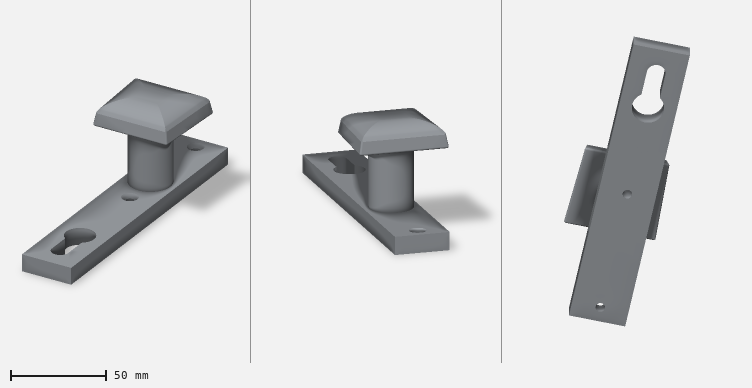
import cadquery as cq
import math

plate_length = 160.0
plate_width = 30.0
plate_thickness = 10.0

screw_hole_diameter = 5.0
countersink_diameter = 9.3
countersink_angle = 90.0
screw_hole_places = [72.0, 5.1]

keyhole_diameter = 17.0
keyhole_slot_width = 10.0
keyhole_y = -45.8
keyhole_slot_center_y = -66.0

column_diameter = 24.0
column_y = 26.0
column_flare_radius = 5.0

head_y = 27.0
head_depth = 45.0
head_back_width = 49.5
head_front_width = 45.5
head_bottom_z = 46.0
wall_top_z = 53.5
head_top_z = 60.0
wall_lean = 10.0
head_edge_radius = 1.0

flat_inset = 15.8
dome_lean = 20.0
ridge_fullness = 0.5

wall_inset = (wall_top_z - head_bottom_z) * math.tan(math.radians(wall_lean))
side_slope = (head_back_width - head_front_width) / (2 * head_depth)


def make_plate():
    """Flat plate with two countersunk screw holes and a keyhole."""
    plate = cq.Workplane("XY").box(plate_width, plate_length, plate_thickness, centered=(True, True, False))
    plate = (
        plate.faces(">Z")
        .workplane(origin=(0, 0, 0))
        .pushPoints([(0, y) for y in screw_hole_places])
        .cskHole(screw_hole_diameter, countersink_diameter, countersink_angle)
    )
    return plate.cut(make_keyhole_cutter())


def make_keyhole_cutter():
    """Round hole joined to a slot with a rounded end, as deep as the plate."""
    slot_length = keyhole_y - keyhole_slot_center_y + keyhole_slot_width
    slot_middle_y = (keyhole_y + keyhole_slot_center_y) / 2
    round_hole = cq.Workplane("XY").center(0, keyhole_y).circle(keyhole_diameter / 2).extrude(plate_thickness)
    slot = (
        cq.Workplane("XY")
        .center(0, slot_middle_y)
        .slot2D(slot_length, keyhole_slot_width, 90)
        .extrude(plate_thickness)
    )
    return round_hole.union(slot)


def head_corners(inset, z):
    """Corners of the head outline moved inwards by `inset`, in order around the head."""
    half_depth = head_depth / 2 - inset
    middle_half_width = (head_back_width + head_front_width) / 4 - inset * math.hypot(1, side_slope)
    back = middle_half_width + side_slope * half_depth
    front = middle_half_width - side_slope * half_depth
    y_back = head_y + half_depth
    y_front = head_y - half_depth
    return [
        cq.Vector(-front, y_front, z),
        cq.Vector(front, y_front, z),
        cq.Vector(back, y_back, z),
        cq.Vector(-back, y_back, z),
    ]


def make_dome_ridges():
    """Curves from the wall corners to the flat: they leave at the dome lean and arrive level."""
    rise = ridge_fullness * (head_top_z - wall_top_z)
    lean_inset = wall_inset + rise * math.tan(math.radians(dome_lean))
    run_inset = flat_inset - ridge_fullness * (flat_inset - wall_inset)
    feet = head_corners(wall_inset, wall_top_z)
    lower_handles = head_corners(lean_inset, wall_top_z + rise)
    upper_handles = head_corners(run_inset, head_top_z)
    tips = head_corners(flat_inset, head_top_z)
    return [cq.Edge.makeBezier(list(points)) for points in zip(feet, lower_handles, upper_handles, tips)]


def make_sharp_head():
    """Underside, leaning walls, domed top and flat, closed into one sharp-edged solid."""
    bottom = head_corners(0, head_bottom_z)
    wall_top = head_corners(wall_inset, wall_top_z)
    flat = head_corners(flat_inset, head_top_z)
    ridges = make_dome_ridges()

    faces = [make_flat_face(bottom), make_flat_face(flat)]
    for corner in range(len(ridges)):
        following = (corner + 1) % len(ridges)
        wall = [bottom[corner], bottom[following], wall_top[following], wall_top[corner]]
        faces.append(make_flat_face(wall))
        faces.append(cq.Face.makeRuledSurface(ridges[corner], ridges[following]))
    return cq.Workplane(obj=cq.Solid.makeSolid(cq.Shell.makeShell(faces)))


def make_flat_face(corners):
    """Flat face bounded by straight lines between the corners."""
    return cq.Face.makeFromWires(cq.Wire.makePolygon(corners, close=True))


def make_head():
    """Head with its four wall corners and the rim of its underside rounded."""
    wall_corners = cq.selectors.BoxSelector(
        (-head_back_width, head_y - head_depth, head_bottom_z + head_edge_radius),
        (head_back_width, head_y + head_depth, wall_top_z - head_edge_radius),
    )
    head = make_sharp_head().edges(wall_corners).fillet(head_edge_radius)
    return head.faces("<Z").edges().fillet(head_edge_radius)


def make_knob():
    """Column and head as one solid, blended by a flare under the head."""
    column = (
        cq.Workplane("XY", origin=(0, column_y, plate_thickness))
        .circle(column_diameter / 2)
        .extrude(wall_top_z - plate_thickness)
    )
    knob = make_head().union(column)
    joint = knob.faces(cq.selectors.NearestToPointSelector((0, head_y, head_bottom_z))).edges("%CIRCLE")
    return joint.fillet(column_flare_radius)


plate = make_plate()
knob = make_knob()
result = cq.Compound.makeCompound([plate.val(), knob.val()])